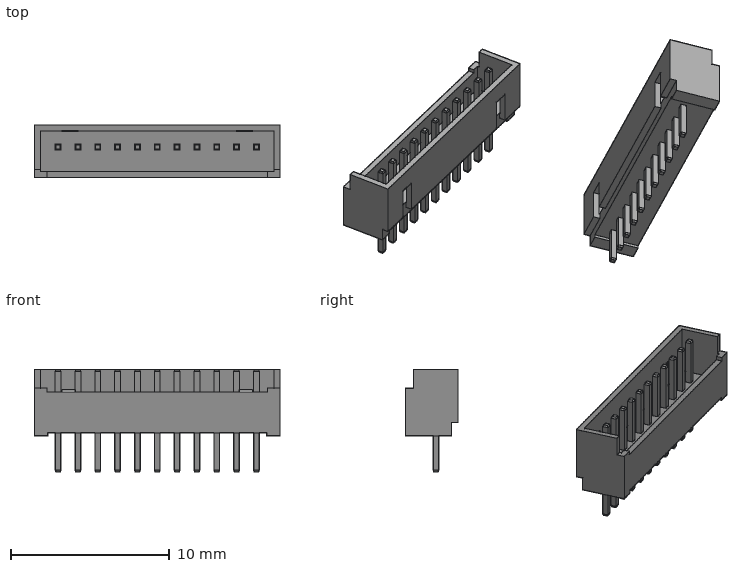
import cadquery as cq

pin_count = 11
pin_pitch = 1.25
pin_width = 0.36
pin_tip_inset = 0.05
pin_tip_height = 0.12
pin_tail = 2.28
pin_top_gap = 0.03
row_to_back = 1.4

end_margin = 1.5
housing_length = (pin_count - 1) * pin_pitch + 2 * end_margin
housing_depth = 3.33
housing_height = 4.2
wall = 0.38
floor_top = 1.24

shoulder_drop = 1.18
front_wall_drop = 1.42
shoulder_height = housing_height - shoulder_drop
shoulder_length = 0.8
shoulder_depth = 0.51
front_wall_height = housing_height - front_wall_drop

foot_height = 0.2
foot_length = 0.86
back_step_depth = 0.42
back_step_height = 0.84

window_width = 1.0
window_drop = 1.3
window_top = housing_height - window_drop
window_center_x = 5.5

back_y = row_to_back
front_y = back_y - housing_depth
half_length = housing_length / 2


def block(x_range, y_range, z_range):
    """Axis-aligned box between the given limits."""
    (x0, x1), (y0, y1), (z0, z1) = x_range, y_range, z_range
    return cq.Workplane("XY").box(x1 - x0, y1 - y0, z1 - z0, centered=False).translate((x0, y0, z0))


def centered_range(length, center=0):
    """Limits of a span of the given length about a centre."""
    return (center - length / 2, center + length / 2)


def make_shell():
    """Open-topped box with the stepped side profile."""
    profile = [
        (back_y, housing_height),
        (back_y, back_step_height),
        (back_y - back_step_depth, back_step_height),
        (back_y - back_step_depth, 0),
        (front_y, 0),
        (front_y, shoulder_height),
        (front_y + shoulder_depth, shoulder_height),
        (front_y + shoulder_depth, housing_height),
    ]
    body = cq.Workplane("YZ").polyline(profile).close().extrude(half_length, both=True)
    cavity = block(
        centered_range(housing_length - 2 * wall),
        (front_y + wall, back_y - wall),
        (floor_top, housing_height),
    )
    return body.cut(cavity)


def front_wall_notch():
    """Material removed to lower the front wall between the shoulders."""
    return block(
        centered_range(housing_length - 2 * shoulder_length),
        (front_y, front_y + wall),
        (front_wall_height, housing_height),
    )


def underside_relief():
    """Material removed between the feet."""
    return block(
        centered_range(housing_length - 2 * foot_length),
        (front_y, back_y),
        (0, foot_height),
    )


def window(center_x):
    """Opening in the back wall, running down to the back step and just as deep."""
    return block(
        centered_range(window_width, center_x),
        (back_y - back_step_depth, back_y),
        (back_step_height, window_top),
    )


def make_pin(center_x):
    """Square pin with a tapered tip at each end."""
    half = pin_width / 2
    tip_half = half - pin_tip_inset
    bottom = -pin_tail
    top = housing_height - pin_top_gap
    profile = [
        (-tip_half, bottom),
        (tip_half, bottom),
        (half, bottom + pin_tip_height),
        (half, top - pin_tip_height),
        (tip_half, top),
        (-tip_half, top),
        (-half, top - pin_tip_height),
        (-half, bottom + pin_tip_height),
    ]
    across_x = cq.Workplane("XZ").polyline(profile).close().extrude(half, both=True)
    across_y = cq.Workplane("YZ").polyline(profile).close().extrude(half, both=True)
    return across_x.intersect(across_y).translate((center_x, 0, 0))


result = make_shell().cut(front_wall_notch()).cut(underside_relief())

for side in (-1, 1):
    result = result.cut(window(side * window_center_x))

for index in range(pin_count):
    pin_x = (index - (pin_count - 1) / 2) * pin_pitch
    result = result.union(make_pin(pin_x))